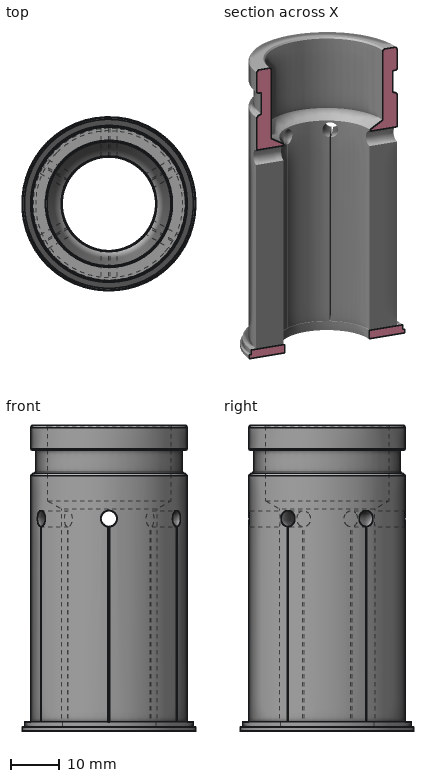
import cadquery as cq
import math

height = 62.5
body_radius = 32.0 / 2
groove_radius = 30.0 / 2
edge_chamfer = 0.3
top_chamfer_height = 0.5

flange_radius = 35.5 / 2
flange_height = 0.95
flange_chamfer = 0.1
flange_bore_radius = 19.1 / 2
step_radius = 34.5 / 2
step_top = 1.95

groove_bottom = 52.7
groove_top = 57.4
groove_fillet = 0.4
shoulder_chamfer = 0.5

upper_bore_radius = 25.3 / 2
lower_bore_radius = 19.5 / 2
upper_bore_bottom = 47.1
taper_angle = 30.0
taper_height = (upper_bore_radius - lower_bore_radius) * math.tan(math.radians(taper_angle))
bore_chamfer = 0.3

slit_count = 6
first_slit_angle = -90.0
hole_diameter = 3.25
hole_height = 43.45
slit_width = 0.3


def make_sleeve():
    """Revolve the half section of the sleeve about Z."""
    taper_bottom = upper_bore_bottom - taper_height
    fillet_end = groove_bottom + groove_fillet
    profile = (
        cq.Workplane("XZ")
        .moveTo(flange_bore_radius, 0)
        .lineTo(flange_radius - flange_chamfer, 0)
        .lineTo(flange_radius, flange_chamfer)
        .lineTo(flange_radius, flange_height - flange_chamfer)
        .lineTo(flange_radius - flange_chamfer, flange_height)
        .lineTo(step_radius, flange_height)
        .lineTo(step_radius, step_top)
        .lineTo(body_radius, step_top)
        .lineTo(body_radius, groove_bottom - shoulder_chamfer)
        .lineTo(body_radius - shoulder_chamfer, groove_bottom)
        .lineTo(groove_radius + groove_fillet, groove_bottom)
        .radiusArc((groove_radius, fillet_end), groove_fillet)
        .lineTo(groove_radius, groove_top)
        .lineTo(body_radius - edge_chamfer, groove_top)
        .lineTo(body_radius, groove_top + edge_chamfer)
        .lineTo(body_radius, height - top_chamfer_height)
        .lineTo(body_radius - edge_chamfer, height)
        .lineTo(upper_bore_radius + bore_chamfer, height)
        .lineTo(upper_bore_radius, height - bore_chamfer)
        .lineTo(upper_bore_radius, upper_bore_bottom)
        .lineTo(lower_bore_radius, taper_bottom)
        .lineTo(lower_bore_radius, step_top)
        .lineTo(flange_bore_radius, step_top)
        .close()
    )
    return profile.revolve(360, (0, 0, 0), (0, 1, 0))


def make_slit_cutter():
    """Radial hole along +X with a thin slit below it."""
    hole = (
        cq.Workplane("YZ")
        .center(0, hole_height)
        .circle(hole_diameter / 2)
        .extrude(flange_radius)
    )
    slit = cq.Workplane("XY").box(
        flange_radius, slit_width, hole_height - step_top, centered=(False, True, False)
    ).translate((0, 0, step_top))
    return hole.union(slit)


result = make_sleeve()
cutter = make_slit_cutter()
for index in range(slit_count):
    angle = first_slit_angle + index * 360 / slit_count
    result = result.cut(cutter.rotate((0, 0, 0), (0, 0, 1), angle))